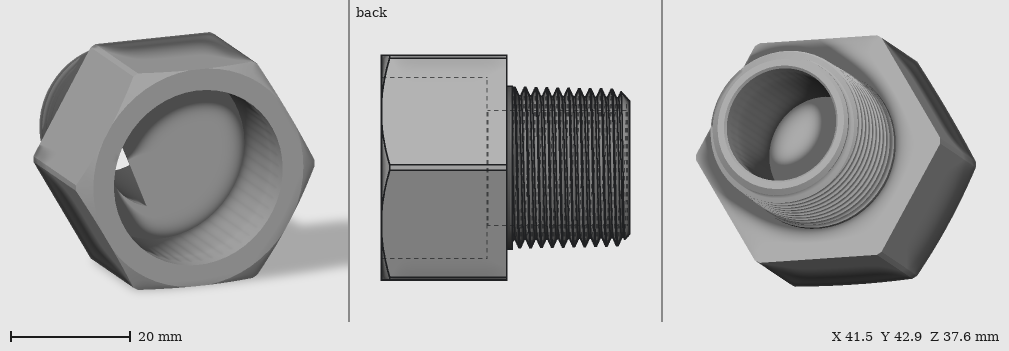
import cadquery as cq
import math

total_length = 41.5
hex_start = 20.53
collar_length = 0.95
collar_start = hex_start - collar_length
collar_diameter = 27.25

across_flats = 37.6
corner_diameter = 42.85
hex_chamfer_length = 1.35
hex_end_radius = 18.85

bore_diameter = 19.2
bore_chamfer = 0.4
socket_diameter = 30.3
socket_depth = 17.55
shoulder_x = total_length - socket_depth
web_thickness = 0.2
web_opening_offset = 5.7
web_opening_angle = -22.0

pitch = 1.813
root_radius = 11.65
crest_height = 1.393
thread_slope = 1 / 48
ridge_base_width = 1.55
crest_width = 0.15
root_overlap = 0.13
first_crest_x = 2.95
end_face_radius = 11.1
end_chamfer_length = 1.8


def revolve_about_x(points):
    return cq.Workplane("XY").polyline(points).close().revolve(360, (0, 0, 0), (1, 0, 0))


def cylinder(start, end, diameter):
    return cq.Workplane("YZ", origin=(start, 0, 0)).circle(diameter / 2).extrude(end - start)


def root_radius_at(x):
    return root_radius + thread_slope * x


def make_hexagon():
    sharp_diameter = across_flats / math.cos(math.pi / 6)
    length = total_length - hex_start
    prism = cq.Workplane("YZ", origin=(hex_start, 0, 0)).polygon(6, sharp_diameter).extrude(length)
    turned_outline = revolve_about_x([
        (hex_start, 0),
        (hex_start, corner_diameter / 2),
        (total_length - hex_chamfer_length, corner_diameter / 2),
        (total_length, hex_end_radius),
        (total_length, 0),
    ])
    return prism.intersect(turned_outline)


def make_ridge():
    start_x = first_crest_x - 2 * pitch
    length = math.ceil((hex_start - start_x) / pitch) * pitch
    taper = math.degrees(math.atan(thread_slope))
    inner = root_radius_at(start_x) - root_overlap
    outer = root_radius_at(start_x) + crest_height
    corners = [
        (inner, -ridge_base_width / 2),
        (outer, -crest_width / 2),
        (outer, crest_width / 2),
        (inner, ridge_base_width / 2),
    ]
    helices = [
        cq.Wire.makeHelix(pitch, length, radius, angle=taper).translate(cq.Vector(0, 0, offset))
        for radius, offset in corners
    ]
    sides = [
        cq.Face.makeRuledSurface(helix, helices[(index + 1) % len(helices)])
        for index, helix in enumerate(helices)
    ]
    start_cap = cq.Face.makeFromWires(cq.Wire.makePolygon([h.startPoint() for h in helices], close=True))
    end_cap = cq.Face.makeFromWires(cq.Wire.makePolygon([h.endPoint() for h in helices], close=True))
    side_faces = [face for side in sides for face in side.Faces()]
    shell = cq.Shell.makeShell(side_faces + [start_cap, end_cap])
    ridge = cq.Workplane(cq.Solid.makeSolid(shell))
    ridge = ridge.rotate((0, 0, 0), (0, 1, 0), 90)
    return ridge.rotate((0, 0, 0), (1, 0, 0), 180).translate((start_x, 0, 0))


def make_male_thread():
    core = revolve_about_x([
        (0, 0),
        (0, root_radius_at(0)),
        (collar_start, root_radius_at(collar_start)),
        (collar_start, 0),
    ])
    chamfer_top_radius = root_radius_at(end_chamfer_length) + crest_height
    envelope = revolve_about_x([
        (0, 0),
        (0, end_face_radius),
        (end_chamfer_length, chamfer_top_radius),
        (end_chamfer_length, collar_diameter / 2),
        (collar_start, collar_diameter / 2),
        (collar_start, 0),
    ])
    return core.union(make_ridge()).intersect(envelope)


def make_bore():
    bore_radius = bore_diameter / 2
    return revolve_about_x([
        (0, 0),
        (0, bore_radius + bore_chamfer),
        (bore_chamfer, bore_radius),
        (shoulder_x, bore_radius),
        (shoulder_x, 0),
    ])


def make_web():
    disc = cylinder(shoulder_x - web_thickness, shoulder_x, bore_diameter)
    opening = cq.Workplane("XY").box(
        total_length, bore_diameter, 2 * bore_diameter
    ).translate((shoulder_x, -web_opening_offset - bore_diameter / 2, 0))
    return disc.cut(opening.rotate((0, 0, 0), (1, 0, 0), -web_opening_angle))


collar = cylinder(collar_start, hex_start, collar_diameter)
socket = cylinder(shoulder_x, total_length, socket_diameter)

result = make_hexagon().union(collar).union(make_male_thread())
result = result.cut(make_bore()).cut(socket).union(make_web())